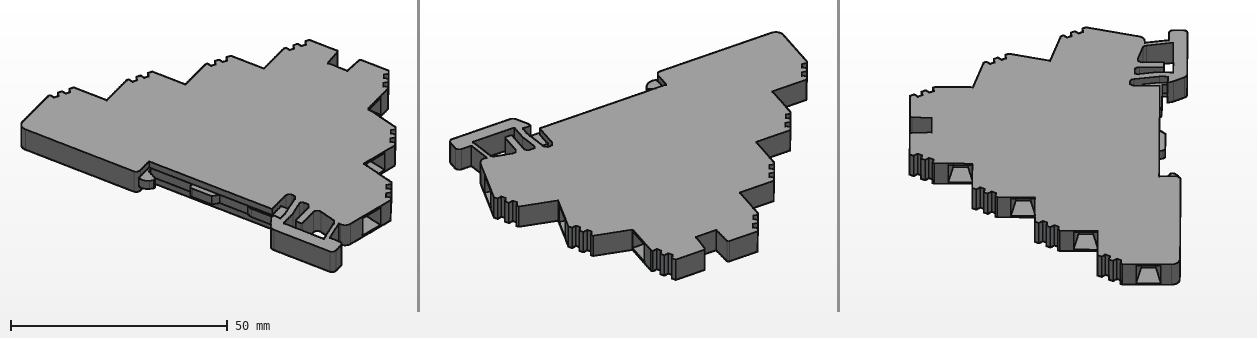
import cadquery as cq
import math

length = 87.5
thickness = 6.0
height = 64.0
base_y = 1.3
base_corner_radius = 2.0

level_count = 4
level_run = 12.3
level_rise = 14.5
top_block_width = 28.3
riser_drop = 5.8
slope_angle = 60

tilt = 15
tilted_riser = 9.9
last_riser = 14.3

notch_mouth = 1.9
notch_floor = 1.2
notch_depth = 1.1
tooth_tip = 1.1
notch_count = 2
straight_lead = 1.1
tilted_lead = 0.7

marker_width = 5.9
marker_floor_width = 5.3
marker_depth = 5.1
marker_radius = 0.4

funnel_length = 5.7
funnel_width = 5.1
funnel_taper = 1.1
funnel_depth = 4.2
funnel_below_riser_top = 6.0

rail_left = 32.55
rail_y = 6.3
rail_corner_radius = 1.1

leg_lean = 10
slit_left = 66.0
slit_width = 2.3
slit_top = 13.2
slit_radius = 1.05
leg_straight_x = 69.4
leg_straight_y = 6.5
foot_seat_y = 4.4
hook_x = 67.3
hook_top = 4.55
hook_face_height = 0.8
hook_bottom_x = 69.5
hook_radius = 1.4
hook_face_radius = 2.6
foot_right = 86.5
foot_top = 4.3
foot_radius = 1.05
outer_leg_x = 82.9
outer_leg_top = 9.9
block_corner_radius = 1.8

window_left = 71.0
window_bend_y = 7.2
window_bottom = 3.2
window_right = 81.9
window_corner_y = 10.15
window_left_top = 12.2
window_left_radius = 0.7
window_radius = 1.05
finger_left = 72.8
finger_right = 74.6
finger_bottom = 5.3
finger_radius = 0.3

strip_thickness = 2.45
strip_top = 10.2

fixed_hook_foot_y = 1.75
fixed_hook_belly = (33.95, 1.6)
fixed_hook_belly_end = (35.2, 2.1)
fixed_hook_tip_x = 36.0
fixed_hook_tip_bottom = 2.9
fixed_hook_tip_top = 3.6
fixed_hook_throat = (33.25, 5.1)
fixed_hook_root_x = 33.0

pad_left = 44.1
pad_right = 51.8
pad_bottom = 4.9
pad_left_slant = 0.35
pad_right_slant = 1.4
pad_radius = 0.9

stop_left = 59.4
stop_bend = (59.9, 5.95)
stop_flat_x = 60.6
stop_bottom = 5.8
stop_lug_x = 68.5
stop_lug_y = 4.5


def lean(angle):
    """Sideways shift per unit of height of a line leaning from vertical."""
    return math.tan(math.radians(angle))


def moved(point, distance, angle):
    """The point at a distance and direction from another one."""
    turn = math.radians(angle)
    return (point[0] + distance * math.cos(turn), point[1] + distance * math.sin(turn))


slope_length = riser_drop / math.sin(math.radians(slope_angle))
slope_run = slope_length * math.cos(math.radians(slope_angle))
top_left_x = (level_count - 1) * level_run
top_centre = top_left_x + top_block_width / 2
top_right_x = top_left_x + top_block_width

tilted_run = length - top_right_x - 2 * slope_run + tilted_riser * math.sin(math.radians(tilt))
tilted_tread = tilted_run / (2 * math.cos(math.radians(tilt)))

top_right_riser = (top_right_x, height - riser_drop)
tilt_start = (top_right_x, height - level_rise)
tread_end_1 = moved(tilt_start, tilted_tread, -tilt)
riser_top_1 = moved(tread_end_1, slope_length, -slope_angle)
tilt_corner = moved(riser_top_1, tilted_riser, -90 - tilt)
tread_end_2 = moved(tilt_corner, tilted_tread, -tilt)
riser_top_2 = moved(tread_end_2, slope_length, -slope_angle)
block_corner = moved(riser_top_2, last_riser, -90 - tilt)

slit_right = slit_left + slit_width
outer_leg_top_x = outer_leg_x - (outer_leg_top - foot_top) * lean(leg_lean)
leg_straight_top = (leg_straight_x, leg_straight_y)


def tread_height(index):
    """Height of a straight level's tread, counted from the lowest level."""
    return height - (level_count - 1 - index) * level_rise


def extruded(points, depth):
    """A plate with the given outline, centred on the mid-thickness plane."""
    return cq.Workplane("XY").polyline(points).close().extrude(depth / 2, both=True)


def rounded(body, corners, radius):
    """Fillet the upright edges that stand on the given corners."""
    for x, y in corners:
        edge = cq.selectors.NearestToPointSelector((x, y, 0))
        body = body.edges("|Z").edges(edge).fillet(radius)
    return body


def slope_points(tread_end, lead):
    """Toothed slope falling to the right, from the tread end to the top of the riser."""
    flank = (notch_mouth - notch_floor) / 2
    inward = -slope_angle - 90
    points = [tread_end]
    for index in range(notch_count):
        start = lead + index * (notch_mouth + tooth_tip)
        mouth_start = moved(tread_end, start, -slope_angle)
        mouth_end = moved(mouth_start, notch_mouth, -slope_angle)
        floor_start = moved(moved(mouth_start, flank, -slope_angle), notch_depth, inward)
        floor_end = moved(floor_start, notch_floor, -slope_angle)
        points += [mouth_start, floor_start, floor_end, mouth_end]
    points.append(moved(tread_end, slope_length, -slope_angle))
    return points


def left_levels():
    """Left side, climbing from the lowest riser to the top block."""
    points = []
    for index in range(level_count):
        riser_x = index * level_run
        tread_y = tread_height(index)
        descent = slope_points((-riser_x - slope_run, tread_y), straight_lead)
        points += [(-x, y) for x, y in reversed(descent)]
        if index < level_count - 1:
            points.append((riser_x + level_run, tread_y))
    return points


def right_levels():
    """Right side, descending from the top block to the spring foot."""
    points = slope_points((top_right_x - slope_run, height), straight_lead)
    points.append(tilt_start)
    points += slope_points(tread_end_1, tilted_lead)
    points.append(tilt_corner)
    points += slope_points(tread_end_2, tilted_lead)
    points.append(block_corner)
    return points


def foot_points():
    """Spring foot from its outer leg round to the slit beside the rail recess."""
    return [
        (outer_leg_top_x, outer_leg_top),
        (outer_leg_x, foot_top),
        (foot_right, foot_top),
        (foot_right, 0),
        (hook_bottom_x, 0),
        (hook_x, hook_top - hook_face_height),
        (hook_x, hook_top),
        (leg_straight_x, foot_seat_y),
        leg_straight_top,
        (slit_right, slit_top),
        (slit_left, slit_top),
        (slit_left, rail_y),
    ]


def make_plate():
    """Solid plate with the full housing outline."""
    outline = left_levels() + right_levels() + foot_points()
    outline += [(rail_left, rail_y), (rail_left, base_y), (0, base_y)]
    plate = extruded(outline, thickness)
    plate = rounded(plate, [(0, base_y)], base_corner_radius)
    plate = rounded(plate, [(rail_left, base_y)], rail_corner_radius)
    plate = rounded(plate, [(slit_left, slit_top), (slit_right, slit_top)], slit_radius)
    plate = rounded(plate, [(hook_bottom_x, 0)], hook_radius)
    plate = rounded(plate, [(hook_x, hook_top - hook_face_height)], hook_face_radius)
    plate = rounded(plate, [(foot_right, 0), (foot_right, foot_top)], foot_radius)
    return rounded(plate, [block_corner], block_corner_radius)


def cut_marker_notch(body):
    """Tapered notch in the top edge, with rounded shoulders."""
    half_top = marker_width / 2
    half_floor = marker_floor_width / 2
    floor_y = height - marker_depth
    notch = extruded(
        [
            (top_centre - half_top, height),
            (top_centre - half_floor, floor_y),
            (top_centre + half_floor, floor_y),
            (top_centre + half_top, height),
        ],
        thickness,
    )
    shoulders = [(top_centre - half_top, height), (top_centre + half_top, height)]
    return rounded(body.cut(notch), shoulders, marker_radius)


def cut_window(body):
    """Opening between the legs, with the finger left standing in it."""
    left_top = (window_left - (window_left_top - window_bend_y) * lean(leg_lean), window_left_top)
    finger_root_left = (finger_left, window_left_top)
    right_top = (window_right - (window_corner_y - window_bottom) * lean(leg_lean), window_corner_y)
    finger_root_right = (finger_right, window_corner_y + (right_top[0] - finger_right) * lean(tilt))
    window = extruded(
        [
            (window_left, window_bottom),
            (window_left, window_bend_y),
            left_top,
            finger_root_left,
            (finger_left, finger_bottom),
            (finger_right, finger_bottom),
            finger_root_right,
            right_top,
            (window_right, window_bottom),
        ],
        thickness,
    )
    window = rounded(window, [left_top], window_left_radius)
    window = rounded(window, [finger_root_left, finger_root_right, right_top], window_radius)
    finger_tip = [(finger_left, finger_bottom), (finger_right, finger_bottom)]
    return body.cut(rounded(window, finger_tip, finger_radius))


def make_funnel(riser_top, riser_direction, inward):
    """Tapered wire entry in a riser that falls in one direction, cut along the inward direction."""
    turn = math.radians(inward)
    mouth = cq.Plane(
        origin=(*moved(riser_top, funnel_below_riser_top, riser_direction), 0),
        xDir=(0, 0, 1),
        normal=(math.cos(turn), math.sin(turn), 0),
    )
    return (
        cq.Workplane(mouth)
        .rect(funnel_width, funnel_length)
        .workplane(offset=funnel_depth)
        .rect(funnel_width - 2 * funnel_taper, funnel_length - 2 * funnel_taper)
        .loft(ruled=True)
    )


def cut_funnels(body):
    """One wire entry in the riser of every level."""
    for index in range(level_count):
        riser_top = (index * level_run, tread_height(index) - riser_drop)
        body = body.cut(make_funnel(riser_top, -90, 0))
    body = body.cut(make_funnel(top_right_riser, -90, 180))
    for riser_top in (riser_top_1, riser_top_2):
        body = body.cut(make_funnel(riser_top, -90 - tilt, 180 - tilt))
    return body


def make_rail_strip():
    """Strip along the rail recess, with a fixed hook, a pad and a stop beside the spring leg."""
    slit_slope = (leg_straight_x - slit_right) / (slit_top - leg_straight_y)
    leg_x_at_top = leg_straight_x - (strip_top - leg_straight_y) * slit_slope
    pad_corner = (pad_left + pad_left_slant, pad_bottom)
    outline = (
        cq.Workplane("XY")
        .moveTo(rail_left, strip_top)
        .lineTo(rail_left, fixed_hook_foot_y)
        .threePointArc(fixed_hook_belly, fixed_hook_belly_end)
        .lineTo(fixed_hook_tip_x, fixed_hook_tip_bottom)
        .lineTo(fixed_hook_tip_x, fixed_hook_tip_top)
        .lineTo(*fixed_hook_throat)
        .lineTo(fixed_hook_root_x, rail_y)
        .lineTo(pad_left, rail_y)
        .lineTo(*pad_corner)
        .lineTo(pad_right - pad_right_slant, pad_bottom)
        .lineTo(pad_right, rail_y)
        .lineTo(stop_left, rail_y)
        .threePointArc(stop_bend, (stop_flat_x, stop_bottom))
        .lineTo(stop_lug_x, stop_bottom)
        .lineTo(stop_lug_x, stop_lug_y)
        .lineTo(leg_straight_x, foot_seat_y)
        .lineTo(*leg_straight_top)
        .lineTo(leg_x_at_top, strip_top)
        .close()
    )
    return rounded(outline.extrude(strip_thickness / 2, both=True), [pad_corner], pad_radius)


def make_housing(strip):
    """Housing with its notch, window, wire entries and the groove that holds the strip."""
    body = cut_marker_notch(make_plate())
    body = cut_window(body)
    body = cut_funnels(body)
    return body.cut(strip)


rail_strip = make_rail_strip()
housing = make_housing(rail_strip)
result = cq.Compound.makeCompound([housing.val(), rail_strip.val()])